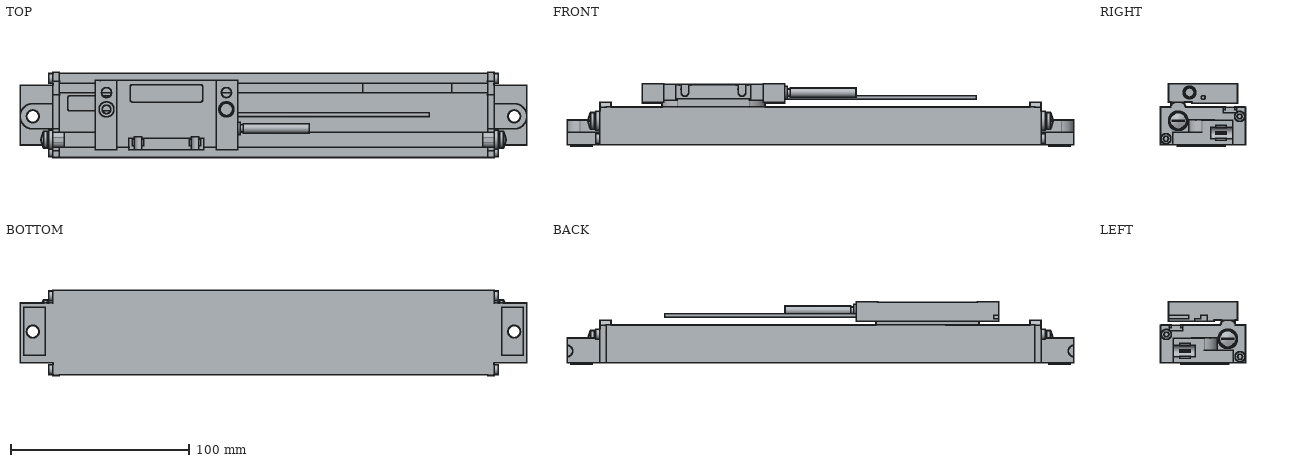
import cadquery as cq


OVERALL_LENGTH = 284.0
FOOT_LENGTH = 18.4
HOUSING_LENGTH = OVERALL_LENGTH - 2 * FOOT_LENGTH
CAP_THICKNESS = 3.6
OVERALL_DEPTH = 47.9
CAP_OVERHANG = 0.5
PROFILE_DEPTH = OVERALL_DEPTH - CAP_OVERHANG
PAD_HEIGHT = 0.8
HOUSING_TOP = 22.1
CAP_END = HOUSING_LENGTH / 2
PROFILE_END = CAP_END - CAP_THICKNESS

CHANNEL_FRONT = 5.8
CHANNEL_BACK = 14.3
CHANNEL_FLOOR = HOUSING_TOP - 2.0
SLOT_FRONT = 36.4
SLOT_BACK = 41.7
SLOT_FLOOR = 18.5
SLOT_UNDERCUT = 1.2
SLOT_LIP = 1.6
INSERT_START = 50.0
INSERT_END = 99.8
INSERT_TOP = HOUSING_TOP - 0.2

SCALE_LABEL_START = -115.3
SCALE_LABEL_LENGTH = 45.0
SCALE_LABEL_FRONT = 26.2
SCALE_LABEL_WIDTH = 8.5
LABEL_DEPTH = 0.2
LABEL_CORNER = 1.2

CAP_NOTCH_MARGIN = 1.2
CAP_NOTCH_FLOOR = 18.8
CAP_TOP = HOUSING_TOP - 0.2
CAP_RELIEF_FRONT = 4.0
CAP_RELIEF_BACK = 16.2
CAP_RELIEF_DEPTH = 0.2
RIDGE_LENGTH = 6.3
RIDGE_CENTRE = (CHANNEL_FRONT + CHANNEL_BACK) / 2
RIDGE_BASE_WIDTH = CHANNEL_BACK - CHANNEL_FRONT
RIDGE_CREST_WIDTH = 3.0
RIDGE_BULGE = 0.4
RIDGE_TOP = 24.7
PLUG_Z = 14.2
PLUG_FLANGE_RADIUS = 5.4
PLUG_FLANGE_LENGTH = 2.4
PLUG_NECK_RADIUS = 4.2
PLUG_NECK_LENGTH = 0.7
PLUG_HEAD_RADIUS = 4.7
PLUG_HEAD_LENGTH = 2.2
PLUG_DOME_RADIUS = 3.2
PLUG_DOME_MIDDLE = 6.4
PLUG_LENGTH = 6.8
PLUG_SLOT_WIDTH = 0.4
PLUG_SLOT_DEPTH = 1.0
SCREW_POSITIONS = [(44.5, 16.7), (3.2, 4.2)]
SCREW_RADIUS = 2.8
SCREW_HEAD = 2.5
SOCKET_ACROSS_CORNERS = 3.0
SOCKET_DEPTH = 1.5

FOOT_FRONT = 7.1
FOOT_BACK = 40.7
FOOT_STEP = 7.7
FOOT_TOP = 14.5
TAB_RISE = 0.2
TAB_CENTRE = 23.2
TAB_RADIUS = 7.1
FOOT_HOLE_RADIUS = 3.4
PAD_INSET = 2.0
PAD_LENGTH = 12.2
PAD_FRONT = 9.5
PAD_BACK = 36.5
FOOT_SLOT_FRONT = 28.2
FOOT_SLOT_Z = 7.4
FOOT_SLOT_RADIUS = 3.1
POCKET_FRONT = 31.0
POCKET_BACK = 37.0
POCKET_HALF_HEIGHT = 4.2
POCKET_DEPTH = 3.6

HEAD_CENTRE = -60.0
HEAD_LENGTH = 80.0
HEAD_FRONT = 4.5
HEAD_BACK = 43.3
HEAD_BOTTOM = 24.0
HEAD_TOP = 35.0
HEAD_START = HEAD_CENTRE - HEAD_LENGTH / 2
HEAD_END = HEAD_CENTRE + HEAD_LENGTH / 2
UNDERSIDE_STEP_BACK = 17.7
UNDERSIDE_STEP = 0.7
MIDDLE_LENGTH = 55.6
MIDDLE_SETBACK = CHANNEL_FRONT - HEAD_FRONT
MIDDLE_DROP = 0.2
MIDDLE_CLEARANCE_TOP = 25.7
BLOCK_LENGTH = 42.0
BLOCK_BACK = 10.9
BLOCK_BOTTOM = 26.5
BLOCK_TOP = HEAD_TOP - 0.6
BOLT_SPACING = 32.0
BOLT_SLOT_WIDTH = 4.2
BOLT_SLOT_BACK = 11.6
BOLT_SLOT_BOTTOM = 28.0
BOLT_HEAD_WIDTH = 6.4
BOLT_HEAD_FRONT = 6.8
BOLT_HEAD_BACK = 10.2
BOLT_HEAD_DEPTH = 3.0
HEAD_LABEL_LENGTH = 40.6
HEAD_LABEL_FRONT = 31.2
HEAD_LABEL_WIDTH = 9.7
HOLE_SPACING = 67.2
THREAD_HOLE_Y = 36.5
THREAD_HOLE_RADIUS = 2.8
BOLT_HOLE_Y = 27.1
BOLT_BORE_RADIUS = 4.2
BOLT_BORE_DEPTH = 6.0
BOLT_HOLE_RADIUS = 2.4
SEAT_RING_DEPTH = 1.0
SEAT_RADIUS = 3.5
SEAT_DEPTH = 2.0
CARRIAGE_LENGTH = 57.8
CARRIAGE_STRAIGHT = 40.3
CARRIAGE_FRONT = CHANNEL_FRONT
CARRIAGE_BACK = 13.6
END_RECESSES = [
    (31.8, HEAD_BACK, 25.4, 27.3),
    (21.5, 25.1, HEAD_BOTTOM, 27.5),
    (25.1, 28.7, HEAD_BOTTOM, 25.6),
]
END_RECESS_DEPTH = 3.0

CABLE_Y = 16.4
CABLE_Z = 30.1
CABLE_RADIUS = 2.6
CABLE_END = 20.0
GLAND_RADIUS = 3.5
GLAND_LENGTH = 1.4
GLAND_NECK_RADIUS = 2.0
GLAND_NECK_LENGTH = 1.6
WIRE_Y = 24.1
WIRE_Z = 27.3
WIRE_RADIUS = 1.1
WIRE_END = 87.4


def block(x0, x1, y0, y1, z0, z1):
    """A box between two opposite corners."""
    return cq.Workplane("XY").box(x1 - x0, y1 - y0, z1 - z0, centered=False).translate((x0, y0, z0))


def rod(x0, x1, y, z, radius):
    """A round bar along X."""
    return cq.Workplane("YZ", origin=(x0, y, z)).circle(radius).extrude(x1 - x0)


def label_recess(x0, length, y0, width, top):
    """The cutter for a shallow recess with rounded corners."""
    return block(x0, x0 + length, y0, y0 + width, top - LABEL_DEPTH, top).edges("|Z").fillet(LABEL_CORNER)


def make_profile():
    """The long extrusion, with its channel, its undercut slot and the insert in the slot."""
    wide_front = SLOT_FRONT - SLOT_UNDERCUT
    wide_back = SLOT_BACK + SLOT_UNDERCUT
    wide_top = HOUSING_TOP - SLOT_LIP
    profile = block(-PROFILE_END, PROFILE_END, 0, PROFILE_DEPTH, PAD_HEIGHT, HOUSING_TOP)
    channel = block(-PROFILE_END, PROFILE_END, CHANNEL_FRONT, CHANNEL_BACK, CHANNEL_FLOOR, HOUSING_TOP)
    slot = block(-PROFILE_END, PROFILE_END, SLOT_FRONT, SLOT_BACK, SLOT_FLOOR, HOUSING_TOP)
    undercut = block(-PROFILE_END, PROFILE_END, wide_front, wide_back, SLOT_FLOOR, wide_top)
    insert = block(INSERT_START, INSERT_END, SLOT_FRONT, SLOT_BACK, SLOT_FLOOR, INSERT_TOP)
    insert_base = block(INSERT_START, INSERT_END, wide_front, wide_back, SLOT_FLOOR, wide_top)
    label = label_recess(
        SCALE_LABEL_START, SCALE_LABEL_LENGTH, SCALE_LABEL_FRONT, SCALE_LABEL_WIDTH, HOUSING_TOP
    )
    return profile.cut(channel).cut(slot).cut(undercut).union(insert).union(insert_base).cut(label)


def make_cap():
    """The right end cap: a plate with a slot notch, relieved on both sides of the ridge."""
    cap = block(PROFILE_END, CAP_END, 0, OVERALL_DEPTH, PAD_HEIGHT, CAP_TOP)
    notch = block(
        PROFILE_END, CAP_END,
        SLOT_FRONT - CAP_NOTCH_MARGIN, SLOT_BACK + CAP_NOTCH_MARGIN,
        CAP_NOTCH_FLOOR, CAP_TOP,
    )
    relief = block(
        PROFILE_END, CAP_END, CAP_RELIEF_FRONT, CAP_RELIEF_BACK, CAP_TOP - CAP_RELIEF_DEPTH, CAP_TOP
    )
    return cap.cut(notch).cut(relief)


def make_ridge():
    """The sloped ridge across the channel at the right end."""
    half_base = RIDGE_BASE_WIDTH / 2
    half_crest = RIDGE_CREST_WIDTH / 2
    mid_half = (half_base + half_crest) / 2
    mid_z = (HOUSING_TOP + RIDGE_TOP) / 2
    return (
        cq.Workplane("YZ", origin=(CAP_END - RIDGE_LENGTH, RIDGE_CENTRE, 0))
        .moveTo(-half_base, CHANNEL_FLOOR)
        .lineTo(half_base, CHANNEL_FLOOR)
        .lineTo(half_base, HOUSING_TOP)
        .threePointArc((mid_half + RIDGE_BULGE, mid_z + RIDGE_BULGE), (half_crest, RIDGE_TOP))
        .lineTo(-half_crest, RIDGE_TOP)
        .threePointArc((-mid_half - RIDGE_BULGE, mid_z + RIDGE_BULGE), (-half_base, HOUSING_TOP))
        .close()
        .extrude(RIDGE_LENGTH)
    )


def make_plug():
    """The turned plug on the outside of the right cap: flange, neck and slotted domed head."""
    head_start = PLUG_FLANGE_LENGTH + PLUG_NECK_LENGTH
    head_end = head_start + PLUG_HEAD_LENGTH
    plug = (
        cq.Workplane("XY", origin=(CAP_END, RIDGE_CENTRE, PLUG_Z))
        .lineTo(0, PLUG_FLANGE_RADIUS)
        .lineTo(PLUG_FLANGE_LENGTH, PLUG_FLANGE_RADIUS)
        .lineTo(PLUG_FLANGE_LENGTH, PLUG_NECK_RADIUS)
        .lineTo(head_start, PLUG_NECK_RADIUS)
        .lineTo(head_start, PLUG_HEAD_RADIUS)
        .lineTo(head_end, PLUG_HEAD_RADIUS)
        .threePointArc((PLUG_DOME_MIDDLE, PLUG_DOME_RADIUS / 2), (PLUG_LENGTH, 0))
        .close()
        .revolve(360, (0, 0, 0), (1, 0, 0))
    )
    tip = CAP_END + PLUG_LENGTH
    driver_slot = block(
        tip - PLUG_SLOT_DEPTH, tip,
        RIDGE_CENTRE - PLUG_HEAD_RADIUS, RIDGE_CENTRE + PLUG_HEAD_RADIUS,
        PLUG_Z - PLUG_SLOT_WIDTH / 2, PLUG_Z + PLUG_SLOT_WIDTH / 2,
    )
    return plug.cut(driver_slot)


def make_screw_head(y, z):
    """A socket head on the outside of the right cap."""
    head = rod(CAP_END, CAP_END + SCREW_HEAD, y, z, SCREW_RADIUS)
    return head.faces(">X").workplane().polygon(6, SOCKET_ACROSS_CORNERS).cutBlind(-SOCKET_DEPTH)


def make_foot():
    """The right mounting foot: low plate, back plate, bolt tab, round end slot with a V pocket, and pad."""
    end = OVERALL_LENGTH / 2
    tab_x = end - TAB_RADIUS
    low_plate = block(CAP_END, end, FOOT_FRONT, FOOT_BACK, PAD_HEIGHT, FOOT_STEP)
    back_plate = block(CAP_END, end, TAB_CENTRE, FOOT_BACK, FOOT_STEP, FOOT_TOP)
    tab_top = FOOT_TOP + TAB_RISE
    tab = block(
        CAP_END, tab_x, TAB_CENTRE - TAB_RADIUS, TAB_CENTRE + TAB_RADIUS, PAD_HEIGHT, tab_top
    ).union(
        cq.Workplane("XY", origin=(tab_x, TAB_CENTRE, PAD_HEIGHT))
        .circle(TAB_RADIUS).extrude(tab_top - PAD_HEIGHT)
    )
    pad_end = end - PAD_INSET
    pad = block(pad_end - PAD_LENGTH, pad_end, PAD_FRONT, PAD_BACK, 0, PAD_HEIGHT)
    hole = cq.Workplane("XY", origin=(tab_x, TAB_CENTRE, 0)).circle(FOOT_HOLE_RADIUS).extrude(tab_top)
    slot = (
        cq.Workplane("XZ", origin=(end, FOOT_SLOT_FRONT, FOOT_SLOT_Z))
        .circle(FOOT_SLOT_RADIUS).extrude(FOOT_SLOT_FRONT - FOOT_BACK)
    )
    pocket = (
        cq.Workplane("XZ", origin=(end, POCKET_FRONT, FOOT_SLOT_Z))
        .moveTo(0, -POCKET_HALF_HEIGHT)
        .lineTo(-POCKET_DEPTH, 0)
        .lineTo(0, POCKET_HALF_HEIGHT)
        .close()
        .extrude(POCKET_FRONT - POCKET_BACK)
    )
    return low_plate.union(back_plate).union(tab).union(pad).cut(hole).cut(slot).cut(pocket)


def make_scale_unit():
    """The profile with everything at the right end mirrored to the left end."""
    end_parts = make_cap().union(make_ridge()).union(make_plug()).union(make_foot())
    for y, z in SCREW_POSITIONS:
        end_parts = end_parts.union(make_screw_head(y, z))
    return make_profile().union(end_parts).union(end_parts.mirror("YZ"))


def make_head_body():
    """The head block with its lower middle section, underside step and front block."""
    body = block(HEAD_START, HEAD_END, HEAD_FRONT, HEAD_BACK, HEAD_BOTTOM, HEAD_TOP)
    step_top = HEAD_BOTTOM + UNDERSIDE_STEP
    body = body.cut(block(HEAD_START, HEAD_END, HEAD_FRONT, UNDERSIDE_STEP_BACK, HEAD_BOTTOM, step_top))

    middle_start = HEAD_CENTRE - MIDDLE_LENGTH / 2
    middle_end = HEAD_CENTRE + MIDDLE_LENGTH / 2
    setback_face = HEAD_FRONT + MIDDLE_SETBACK
    body = body.cut(
        block(middle_start, middle_end, HEAD_FRONT, HEAD_BACK, HEAD_TOP - MIDDLE_DROP, HEAD_TOP)
    )
    body = body.cut(block(middle_start, middle_end, HEAD_FRONT, setback_face, HEAD_BOTTOM, HEAD_TOP))
    body = body.cut(
        block(middle_start, middle_end, HEAD_FRONT, CARRIAGE_BACK, HEAD_BOTTOM, MIDDLE_CLEARANCE_TOP)
    )

    block_start = HEAD_CENTRE - BLOCK_LENGTH / 2
    block_end = HEAD_CENTRE + BLOCK_LENGTH / 2
    body = body.cut(block(block_start, block_end, HEAD_FRONT, BLOCK_BACK, BLOCK_TOP, HEAD_TOP))
    return body.union(block(block_start, block_end, HEAD_FRONT, BLOCK_BACK, BLOCK_BOTTOM, BLOCK_TOP))


def bolt_slot(x):
    """The cutter for a round-bottomed front slot with a wider seat for a bolt head."""
    half = BOLT_SLOT_WIDTH / 2
    round_z = BOLT_SLOT_BOTTOM + half
    slot = block(x - half, x + half, HEAD_FRONT, BOLT_SLOT_BACK, round_z, HEAD_TOP).union(
        cq.Workplane("XZ", origin=(x, HEAD_FRONT, round_z))
        .circle(half).extrude(HEAD_FRONT - BOLT_SLOT_BACK)
    )
    half_seat = BOLT_HEAD_WIDTH / 2
    seat = block(
        x - half_seat, x + half_seat, BOLT_HEAD_FRONT, BOLT_HEAD_BACK, HEAD_TOP - BOLT_HEAD_DEPTH, HEAD_TOP
    )
    return slot.union(seat)


def top_hole(x, y, radius, depth):
    """The cutter for a round hole sunk from the top of the head."""
    return cq.Workplane("XY", origin=(x, y, HEAD_TOP)).circle(radius).extrude(-depth)


def cut_mounting_holes(head):
    """Two threaded holes, a counterbored bolt hole on the left and a shallow seat on the right."""
    through = HEAD_TOP - HEAD_BOTTOM
    left = HEAD_CENTRE - HOLE_SPACING / 2
    right = HEAD_CENTRE + HOLE_SPACING / 2
    for x in (left, right):
        head = head.cut(top_hole(x, THREAD_HOLE_Y, THREAD_HOLE_RADIUS, through))
    head = head.cut(top_hole(left, BOLT_HOLE_Y, BOLT_HOLE_RADIUS, through))
    head = head.cut(top_hole(left, BOLT_HOLE_Y, BOLT_BORE_RADIUS, BOLT_BORE_DEPTH))
    head = head.cut(top_hole(right, BOLT_HOLE_Y, SEAT_RADIUS, SEAT_DEPTH))
    return head.cut(top_hole(right, BOLT_HOLE_Y, BOLT_BORE_RADIUS, SEAT_RING_DEPTH))


def make_carriage():
    """The foot under the head that runs in the channel; its ends widen in curves toward the back."""
    half_length = CARRIAGE_LENGTH / 2
    half_straight = CARRIAGE_STRAIGHT / 2
    mid_x = (half_length + half_straight) / 2
    mid_y = CARRIAGE_FRONT + (CARRIAGE_BACK - CARRIAGE_FRONT) / 4
    return (
        cq.Workplane("XY", origin=(HEAD_CENTRE, 0, CHANNEL_FLOOR))
        .moveTo(-half_straight, CARRIAGE_FRONT)
        .lineTo(half_straight, CARRIAGE_FRONT)
        .threePointArc((mid_x, mid_y), (half_length, CARRIAGE_BACK))
        .lineTo(-half_length, CARRIAGE_BACK)
        .threePointArc((-mid_x, mid_y), (-half_straight, CARRIAGE_FRONT))
        .close()
        .extrude(MIDDLE_CLEARANCE_TOP - CHANNEL_FLOOR)
    )


def make_cables():
    """The gland with its thick cable, and the thin wire beside it."""
    gland_end = HEAD_END + GLAND_LENGTH
    neck_end = gland_end + GLAND_NECK_LENGTH
    return [
        rod(HEAD_END, gland_end, CABLE_Y, CABLE_Z, GLAND_RADIUS),
        rod(gland_end, neck_end, CABLE_Y, CABLE_Z, GLAND_NECK_RADIUS),
        rod(neck_end, CABLE_END, CABLE_Y, CABLE_Z, CABLE_RADIUS),
        rod(HEAD_END, WIRE_END, WIRE_Y, WIRE_Z, WIRE_RADIUS),
    ]


def make_scanning_head():
    """The complete head with carriage and cables."""
    head = make_head_body()
    for side in (-1, 1):
        head = head.cut(bolt_slot(HEAD_CENTRE + side * BOLT_SPACING / 2))
    head = cut_mounting_holes(head)
    head = head.cut(
        label_recess(
            HEAD_CENTRE - HEAD_LABEL_LENGTH / 2, HEAD_LABEL_LENGTH,
            HEAD_LABEL_FRONT, HEAD_LABEL_WIDTH, HEAD_TOP - MIDDLE_DROP,
        )
    )
    for y0, y1, bottom, top in END_RECESSES:
        head = head.cut(block(HEAD_START, HEAD_START + END_RECESS_DEPTH, y0, y1, bottom, top))
    head = head.union(make_carriage())
    for cable in make_cables():
        head = head.union(cable)
    return head


scale_unit = make_scale_unit()
scanning_head = make_scanning_head()

result = cq.Compound.makeCompound([scale_unit.val(), scanning_head.val()])